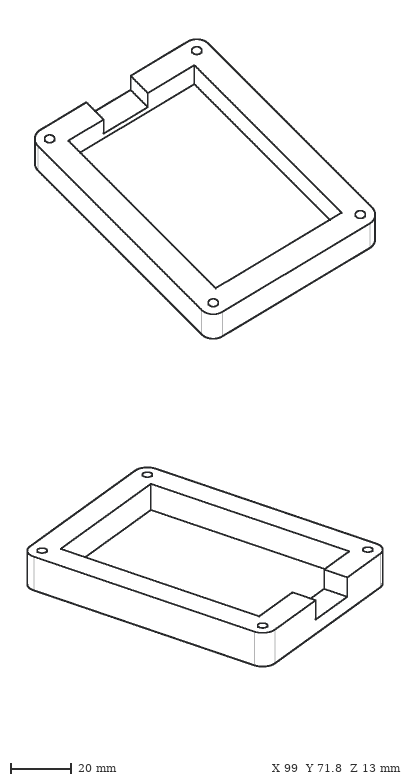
import cadquery as cq

length = 99.0
width = 71.8
height = 13.0
corner_radius = 4.9

wall = 9.4
pocket_length = length - 2 * wall
pocket_width = width - 2 * wall
pocket_depth = 10.0

notch_width = 18.6
notch_depth = 7.4
notch_center_y = -2.4

hole_diameter = 3.4
hole_spacing_x = length - 2 * corner_radius
hole_spacing_y = width - 2 * corner_radius


def make_body():
    body = cq.Workplane("XY").box(length, width, height, centered=(True, True, False))
    return body.edges("|Z").fillet(corner_radius)


def cut_pocket(body):
    return body.faces(">Z").workplane().rect(pocket_length, pocket_width).cutBlind(-pocket_depth)


def cut_notch(body):
    notch = (
        cq.Workplane("XY")
        .box(wall, notch_width, notch_depth, centered=(False, True, False))
        .translate((-length / 2, notch_center_y, height - notch_depth))
    )
    return body.cut(notch)


def drill_corner_holes(body):
    holes = (
        cq.Workplane("XY")
        .rect(hole_spacing_x, hole_spacing_y, forConstruction=True)
        .vertices()
        .circle(hole_diameter / 2)
        .extrude(height)
    )
    return body.cut(holes)


result = drill_corner_holes(cut_notch(cut_pocket(make_body())))